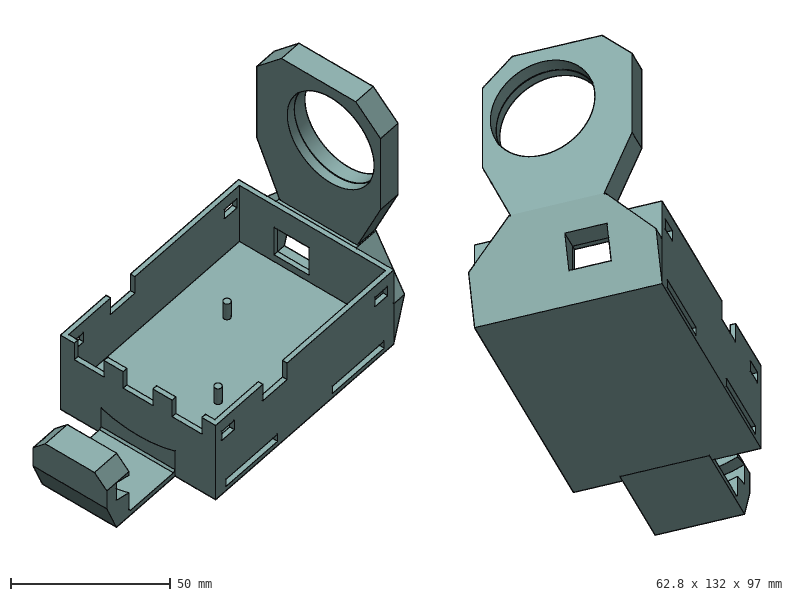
import cadquery as cq
import math


BOX_WIDTH = 62.8
BOX_LENGTH = 88.3
BOX_HEIGHT = 33.3
WALL = 1.8
FLOOR_TOP = 8.2
INNER_WIDTH = BOX_WIDTH - 2 * WALL

STRAP_SLOT_LENGTH = 25.6
STRAP_SLOT_HEIGHT = 3.2
STRAP_SLOT_BOTTOM = 2.0
STRAP_SLOT_FRONTS = (5.1, 58.0)

LATCH_LENGTH = 6.2
LATCH_HEIGHT = 4.1
LATCH_BOTTOM = 24.2
LATCH_FRONTS = (3.0, 79.1)

NOTCH_DEPTH = 7.4
NOTCH_WIDTH = 12.0
FRONT_NOTCH_SPACING = 19.8
LEFT_NOTCH_Y = 28.6
RIGHT_NOTCH_Y = 29.5

PIN_DIAMETER = 2.6
PIN_HEIGHT = 7.0
PIN_PLACES = ((23.6, 80.4), (-11.6, 58.3), (9.8, 27.7))

CABLE_LEFT = -15.6
CABLE_WIDTH = 14.1
CABLE_BOTTOM = 11.2
CABLE_HEIGHT = 12.3

HOOK_WIDTH = 30.0
HOOK_HEIGHT = 25.1
HOOK_REACH = 33.8
HOOK_ARM_DEPTH = 11.0
HOOK_PLATE_THICKNESS = 2.1
HOOK_CORNER_CHAMFER = 5.0
HOOK_UNDERCUT_DEPTH = 4.8
HOOK_UNDERCUT_HEIGHT = 12.0
INNER_CHAMFER = 0.8
HOOK_ARM_INNER_Y = HOOK_ARM_DEPTH - HOOK_REACH

GROOVE_DEPTH = 6.2
GROOVE_RISE = 1.6
GROOVE_GAP = 7.3
GROOVE_BOTTOM = 7.9

TAB_THICKNESS = 2.4
TAB_LOW_HEIGHT = 8.6
CURVE_RADIUS = 43.5

TOTAL_LENGTH = 132.0
TOTAL_HEIGHT = 97.0
BRACKET_DEPTH = TOTAL_LENGTH - HOOK_REACH - BOX_LENGTH
BRACKET_BACK = BOX_LENGTH + BRACKET_DEPTH
PLATE_THICKNESS = 8.7
PLATE_WIDTH = 50.2
PLATE_CORNER_CHAMFER = 10.0
PLATE_TAPER_TOP = 55.2
PLATE_FOOT_WIDTH = BOX_WIDTH / 2
FOOT_SHOULDER_HEIGHT = 18.1
FOOT_TOP_WIDTH = 32.3

OPENING_X = 4.9
OPENING_Z = 73.3
OPENING_WIDTH = 35.0
OPENING_HEIGHT = 37.5
OPENING_FRONT_WIDTH = 35.1
OPENING_FRONT_HEIGHT = 38.1
OPENING_FRONT_DEPTH = 3.4


def block(x_range, y_range, z_range):
    """A rectangular block between two limits on each axis."""
    (x0, x1), (y0, y1), (z0, z1) = x_range, y_range, z_range
    return cq.Workplane("XY").box(x1 - x0, y1 - y0, z1 - z0, centered=False).translate((x0, y0, z0))


def across(width, center=0):
    """The limits of a width laid evenly about a center."""
    return (center - width / 2, center + width / 2)


def prism_along_y(points, y_front, y_back):
    """A prism with an X-Z outline that runs from y_front to y_back."""
    plane = cq.Workplane("XZ", origin=(0, y_front, 0))
    return plane.polyline(points).close().extrude(y_front - y_back)


def prism_along_x(points, width):
    """A prism with a Y-Z outline, centered across X."""
    return cq.Workplane("YZ").polyline(points).close().extrude(width / 2, both=True)


def cable_window():
    return block(
        (CABLE_LEFT, CABLE_LEFT + CABLE_WIDTH),
        (BOX_LENGTH - 2 * WALL, BRACKET_BACK),
        (CABLE_BOTTOM, CABLE_BOTTOM + CABLE_HEIGHT),
    )


def curve_drop(radius):
    """How far an arc as wide as the hook dips below its ends."""
    return radius - math.sqrt(radius**2 - (HOOK_WIDTH / 2) ** 2)


def tab():
    """The plate in the front wall, with a top edge that dips in the middle."""
    half = HOOK_WIDTH / 2
    end_height = TAB_LOW_HEIGHT + curve_drop(CURVE_RADIUS)
    return (
        cq.Workplane("XZ")
        .moveTo(-half, 0)
        .lineTo(half, 0)
        .lineTo(half, end_height)
        .threePointArc((0, TAB_LOW_HEIGHT), (-half, end_height))
        .close()
        .extrude(-TAB_THICKNESS)
    )


def rim_notches():
    notch_z = (BOX_HEIGHT - NOTCH_DEPTH, BOX_HEIGHT)
    half = BOX_WIDTH / 2
    notches = block((-half, WALL - half), across(NOTCH_WIDTH, LEFT_NOTCH_Y), notch_z)
    notches = notches.add(block((half - WALL, half), across(NOTCH_WIDTH, RIGHT_NOTCH_Y), notch_z))
    for step in (-1, 0, 1):
        notch_x = across(NOTCH_WIDTH, step * FRONT_NOTCH_SPACING)
        notches = notches.add(block(notch_x, (0, WALL), notch_z))
    return notches.combine()


def make_box():
    body = block(across(BOX_WIDTH), (0, BOX_LENGTH), (0, BOX_HEIGHT))
    body = body.cut(block(across(INNER_WIDTH), (WALL, BOX_LENGTH - WALL), (FLOOR_TOP, BOX_HEIGHT)))
    for front in STRAP_SLOT_FRONTS:
        slot_z = (STRAP_SLOT_BOTTOM, STRAP_SLOT_BOTTOM + STRAP_SLOT_HEIGHT)
        body = body.cut(block(across(BOX_WIDTH), (front, front + STRAP_SLOT_LENGTH), slot_z))
    for front in LATCH_FRONTS:
        latch_z = (LATCH_BOTTOM, LATCH_BOTTOM + LATCH_HEIGHT)
        body = body.cut(block(across(BOX_WIDTH), (front, front + LATCH_LENGTH), latch_z))
    body = body.cut(rim_notches())
    body = body.cut(cable_window())
    pins = cq.Workplane("XY", origin=(0, 0, FLOOR_TOP)).pushPoints(PIN_PLACES)
    body = body.union(pins.circle(PIN_DIAMETER / 2).extrude(PIN_HEIGHT))
    return body.cut(tab())


def hook_groove():
    """A band between two concentric arcs that rises toward the outside of the hook."""
    half = HOOK_WIDTH / 2
    groove_top = GROOVE_BOTTOM + GROOVE_GAP
    bottom_end = GROOVE_BOTTOM + curve_drop(CURVE_RADIUS)
    top_end = groove_top + curve_drop(CURVE_RADIUS - GROOVE_GAP)
    face = cq.Face.makeFromWires(
        cq.Workplane("XZ", origin=(0, HOOK_ARM_INNER_Y, 0))
        .moveTo(-half, bottom_end)
        .threePointArc((0, GROOVE_BOTTOM), (half, bottom_end))
        .lineTo(half, top_end)
        .threePointArc((0, groove_top), (-half, top_end))
        .close()
        .val()
    )
    return cq.Workplane(cq.Solid.extrudeLinear(face, cq.Vector(0, -GROOVE_DEPTH, GROOVE_RISE)))


def make_hook():
    """An L-shaped hook with a grooved arm, and the tab that holds it in the box."""
    plate_top = HOOK_PLATE_THICKNESS
    profile = [
        (0, 0),
        (HOOK_UNDERCUT_DEPTH - HOOK_REACH, 0),
        (-HOOK_REACH, HOOK_UNDERCUT_HEIGHT),
        (-HOOK_REACH, HOOK_HEIGHT),
        (HOOK_ARM_INNER_Y, HOOK_HEIGHT),
        (HOOK_ARM_INNER_Y, plate_top + INNER_CHAMFER),
        (HOOK_ARM_INNER_Y + INNER_CHAMFER, plate_top),
        (-INNER_CHAMFER, plate_top),
        (0, plate_top + INNER_CHAMFER),
    ]
    body = prism_along_x(profile, HOOK_WIDTH)
    body = body.edges("|Y and >Z").chamfer(HOOK_CORNER_CHAMFER)
    return body.cut(hook_groove()).union(tab())


def bracket_opening():
    """A through ellipse, slightly larger for the first part of its depth."""
    plate_front = BRACKET_BACK - PLATE_THICKNESS
    plane = cq.Workplane("XZ", origin=(OPENING_X, plate_front, OPENING_Z))
    through = plane.ellipse(OPENING_WIDTH / 2, OPENING_HEIGHT / 2).extrude(-PLATE_THICKNESS)
    front = plane.ellipse(OPENING_FRONT_WIDTH / 2, OPENING_FRONT_HEIGHT / 2)
    return through.union(front.extrude(-OPENING_FRONT_DEPTH))


def bracket_plate():
    half = PLATE_WIDTH / 2
    half_top = half - PLATE_CORNER_CHAMFER
    half_foot = PLATE_FOOT_WIDTH / 2
    chamfer_bottom = TOTAL_HEIGHT - PLATE_CORNER_CHAMFER
    outline = [
        (-half_foot, BOX_HEIGHT),
        (half_foot, BOX_HEIGHT),
        (half, PLATE_TAPER_TOP),
        (half, chamfer_bottom),
        (half_top, TOTAL_HEIGHT),
        (-half_top, TOTAL_HEIGHT),
        (-half, chamfer_bottom),
        (-half, PLATE_TAPER_TOP),
    ]
    return prism_along_y(outline, BRACKET_BACK - PLATE_THICKNESS, BRACKET_BACK)


def bracket_foot():
    """A wedge on the back wall, with shoulders that slope in to the foot of the plate."""
    half = BOX_WIDTH / 2
    half_top = FOOT_TOP_WIDTH / 2
    outline = [
        (-half, 0),
        (half, 0),
        (half, FOOT_SHOULDER_HEIGHT),
        (half_top, BOX_HEIGHT),
        (-half_top, BOX_HEIGHT),
        (-half, FOOT_SHOULDER_HEIGHT),
    ]
    wedge = prism_along_x(
        [(BOX_LENGTH, 0), (BRACKET_BACK, BOX_HEIGHT), (BOX_LENGTH, BOX_HEIGHT)], BOX_WIDTH
    )
    return prism_along_y(outline, BOX_LENGTH, BRACKET_BACK).intersect(wedge)


def make_bracket():
    plate = bracket_plate().cut(bracket_opening())
    return bracket_foot().union(plate).cut(cable_window())


box = make_box()
hook = make_hook()
bracket = make_bracket()

result = cq.Compound.makeCompound([box.val(), hook.val(), bracket.val()])